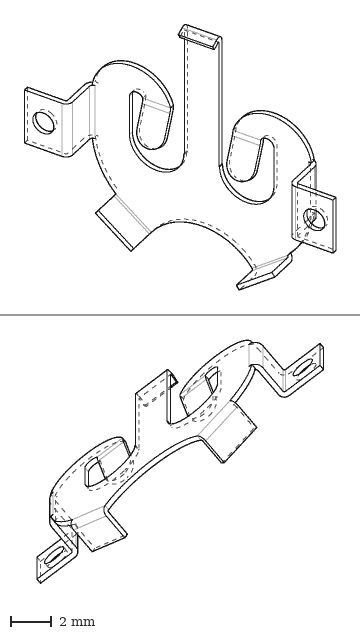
import cadquery as cq
import math

thickness = 0.28

body_half_width = 6.35
side_arc_start_z = -1.05
lobe_radius = 2.3
lobe_z = 1.26
cutout_radius = 3.61
cutout_z = -8.15

arm_half_width = 1.0
arm_top = 7.15
arm_inner_radius = 0.05
arm_tip_angle = 120
arm_tip_length = 0.41

slot_x = 2.6
slot_radius = 1.56
slot_z = -0.6
spring_width = 1.6
spring_bend_z = 1.87
spring_inner_radius = 0.78
spring_angle = 22
spring_length = 2.1
spring_end_flat = 0.02
gap_top = 2.08

overall_length = 17.78
overall_depth = 2.42
bracket_height = 3.18
bracket_inner_radius = 0.2
foot_inner_radius = 0.09
hole_radius = 0.6
hole_to_end = 1.08

lower_tab_x = 2.9
lower_tab_width = 2.56
lower_tab_slope = 36.8
lower_tab_inner_radius = 0.09
lower_tab_depth = 1.83

spring_end_radius = (spring_width - spring_end_flat) / 2
arm_bend_z = arm_top - thickness - arm_inner_radius
lobe_x = body_half_width - lobe_radius
slot_outer_x = slot_x + slot_radius
spring_inner_x = slot_x - spring_width / 2
spring_outer_x = slot_x + spring_width / 2
bracket_bend_x = body_half_width - bracket_inner_radius
foot_bend_depth = overall_depth - thickness - foot_inner_radius
slope = math.radians(lower_tab_slope)
lower_tab_z = cutout_z + math.sqrt(cutout_radius**2 - lower_tab_x**2)
lower_tab_top_x = lower_tab_x + lower_tab_width * math.cos(slope)
lower_tab_top_z = lower_tab_z + lower_tab_width * math.sin(slope)

FORWARD = cq.Vector(0, -1, 0)
SQUARE_BEND = 90


def bent_strip(start, along, toward, width, inner_radius, angle, leg):
    """Strip that leaves `start` (middle of the fold line, on the outside of the bend)
    heading `along`, curls by `angle` degrees to the `toward` side, then runs straight."""
    turn = math.radians(angle)
    outer_radius = inner_radius + thickness
    leg_x = leg * math.cos(turn)
    leg_y = leg * math.sin(turn)

    def on_bend(radius, at):
        return (radius * math.sin(at), outer_radius - radius * math.cos(at))

    outer_end = on_bend(outer_radius, turn)
    inner_end = on_bend(inner_radius, turn)
    plane = cq.Plane(origin=start, xDir=along, normal=along.cross(toward))
    return (
        cq.Workplane(plane)
        .moveTo(0, 0)
        .threePointArc(on_bend(outer_radius, turn / 2), outer_end)
        .lineTo(outer_end[0] + leg_x, outer_end[1] + leg_y)
        .lineTo(inner_end[0] + leg_x, inner_end[1] + leg_y)
        .lineTo(*inner_end)
        .threePointArc(on_bend(inner_radius, turn / 2), (0, thickness))
        .close()
        .extrude(width / 2, both=True)
    )


def half_plate():
    """Right half of the flat plate, up to all the fold lines."""
    gap_radius = (slot_outer_x - spring_outer_x) / 2
    cutout_mid = math.asin(lower_tab_x / cutout_radius) / 2
    cutout_mid_point = (
        cutout_radius * math.sin(cutout_mid),
        cutout_z + cutout_radius * math.cos(cutout_mid),
    )
    plate = (
        cq.Workplane("XZ")
        .moveTo(0, arm_bend_z)
        .lineTo(arm_half_width, arm_bend_z)
        .lineTo(arm_half_width, slot_z)
        .lineTo(slot_x - slot_radius, slot_z)
        .threePointArc((slot_x, slot_z - slot_radius), (slot_outer_x, slot_z))
        .lineTo(slot_outer_x, gap_top - gap_radius)
        .threePointArc((slot_outer_x - gap_radius, gap_top), (spring_outer_x, spring_bend_z))
        .lineTo(spring_inner_x, spring_bend_z)
        .threePointArc((lobe_x, lobe_z + lobe_radius), (body_half_width, lobe_z))
        .lineTo(body_half_width, side_arc_start_z)
        .tangentArcPoint((lower_tab_top_x, lower_tab_top_z), relative=False)
        .lineTo(lower_tab_x, lower_tab_z)
        .threePointArc(cutout_mid_point, (0, cutout_z + cutout_radius))
        .close()
        .extrude(thickness)
    )
    bracket_notch = cq.Workplane("XY").box(
        overall_length, overall_length, bracket_height, centered=(False, True, True)
    )
    return plate.cut(bracket_notch.translate((bracket_bend_x, 0, 0)))


def spring_tab():
    turn = math.radians(spring_angle)
    strip = bent_strip(
        cq.Vector(slot_x, 0, spring_bend_z),
        cq.Vector(0, 0, -1),
        FORWARD,
        spring_width,
        spring_inner_radius,
        spring_angle,
        spring_length,
    )
    through_leg = cq.Vector(0, math.cos(turn), -math.sin(turn))
    end_corners = cq.selectors.ParallelDirSelector(through_leg)
    return strip.edges(end_corners).fillet(spring_end_radius)


def side_bracket():
    outward = cq.Vector(1, 0, 0)
    leg = foot_bend_depth - thickness - bracket_inner_radius
    foot = overall_length / 2 - body_half_width - thickness - foot_inner_radius
    wall = bent_strip(
        cq.Vector(bracket_bend_x, 0, 0),
        outward,
        FORWARD,
        bracket_height,
        bracket_inner_radius,
        SQUARE_BEND,
        leg,
    )
    foot_strip = bent_strip(
        cq.Vector(body_half_width, -foot_bend_depth, 0),
        FORWARD,
        outward,
        bracket_height,
        foot_inner_radius,
        SQUARE_BEND,
        foot,
    )
    hole = (
        cq.Workplane("XZ")
        .center(overall_length / 2 - hole_to_end, 0)
        .circle(hole_radius)
        .extrude(overall_depth)
    )
    return wall.union(foot_strip.cut(hole))


def lower_tab():
    fold_middle = cq.Vector(
        (lower_tab_x + lower_tab_top_x) / 2, 0, (lower_tab_z + lower_tab_top_z) / 2
    )
    return bent_strip(
        fold_middle,
        cq.Vector(math.sin(slope), 0, -math.cos(slope)),
        FORWARD,
        lower_tab_width,
        lower_tab_inner_radius,
        SQUARE_BEND,
        lower_tab_depth - thickness - lower_tab_inner_radius,
    )


def arm_tip():
    return bent_strip(
        cq.Vector(0, 0, arm_bend_z),
        cq.Vector(0, 0, 1),
        FORWARD,
        2 * arm_half_width,
        arm_inner_radius,
        arm_tip_angle,
        arm_tip_length,
    )


right_half = half_plate().union(spring_tab()).union(side_bracket()).union(lower_tab())
result = right_half.union(right_half.mirror("YZ")).union(arm_tip()).clean()